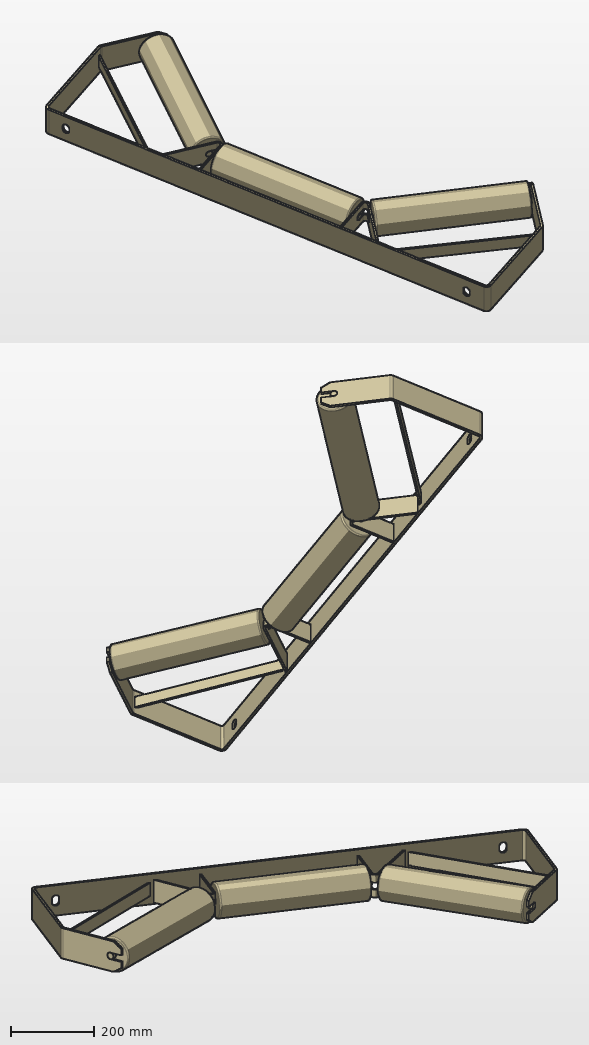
import cadquery as cq
import math


inner_bend = 6.0

frame_length = 1240.0
frame_sheet = 6.0
frame_width = 79.0
half_length = frame_length / 2
arm_reach = 31.0
arm_corner_width = 15.0
arm_corner_length = 22.0
mount_offset = 559.0
mount_width = 19.0
mount_height = 27.0

roller_length = 380.0
roller_diameter = 89.0
roller_edge = 4.0
shaft_diameter = 17.0
end_gap = 5.0
shaft_length = roller_length + 2 * (end_gap + frame_sheet)
near_face = roller_length / 2 + end_gap
slot_reach = 50.0

middle_y = 100.0
inner_z = -6.0
outer_z = 0.0
trough_angle = 40.0
side_x = -376.0
side_y = 235.0
side_tilt = math.degrees(math.asin((outer_z - inner_z) / roller_length))

bracket_sheet = 5.0
bracket_width = 60.0

brace_sheet = 5.0
brace_width = 35.0
brace_top_y = 250.0

cos_trough = math.cos(math.radians(trough_angle))
sin_trough = math.sin(math.radians(trough_angle))
tan_trough = sin_trough / cos_trough


def side_point(outward, upward):
    """Point given by distances from the left roller centre, along its axis and along its arm."""
    return (
        side_x - outward * cos_trough + upward * sin_trough,
        side_y + outward * sin_trough + upward * cos_trough,
    )


def arm_line_y(outward, x):
    """Y at a given X on the arm-parallel line lying `outward` from the left roller centre."""
    start_x, start_y = side_point(outward, 0)
    return start_y + (x - start_x) / tan_trough


def mirror_x(point):
    return (-point[0], point[1])


def extrude_outline(points, width):
    return cq.Workplane("XY", origin=(0, 0, -width / 2)).polyline(points).close().extrude(width)


def cylinder_x(diameter, length):
    """Cylinder along X, centred on the origin."""
    return cq.Workplane("YZ", origin=(-length / 2, 0, 0)).circle(diameter / 2).extrude(length)


def round_corner(body, point, radius):
    """Round the edge parallel to Z that passes through the given XY point."""
    edge = cq.selectors.NearestToPointSelector((point[0], point[1], 0))
    return body.edges("|Z").edges(edge).fillet(radius)


def bent_strip(outer_points, inner_points, thickness, width):
    """Strip between two matching point rows; every row point but the first and last is a bend."""
    body = extrude_outline(outer_points + inner_points[::-1], width)
    for outer, inner in zip(outer_points[1:-1], inner_points[1:-1]):
        body = round_corner(body, outer, inner_bend + thickness)
        body = round_corner(body, inner, inner_bend)
    return body


def place_left(body):
    """Move a body from the origin, lying along X, to the left roller position."""
    body = body.rotate((0, 0, 0), (0, 1, 0), side_tilt)
    body = body.rotate((0, 0, 0), (0, 0, 1), -trough_angle)
    return body.translate((side_x, side_y, (inner_z + outer_z) / 2))


def place_middle(body):
    return body.translate((0, middle_y, inner_z))


def mirrored(body):
    return body.mirror("YZ")


def make_roller():
    """Roller with its shaft, lying along X about the origin."""
    drum = cylinder_x(roller_diameter, roller_length).edges("%CIRCLE").fillet(roller_edge)
    return drum.union(cylinder_x(shaft_diameter, shaft_length))


def make_slot_cutter():
    """A slot at each end of a roller at the origin: round under the shaft, open towards +Y."""
    slot_depth = end_gap + 2 * frame_sheet
    bottom = cylinder_x(shaft_diameter, slot_depth)
    opening = cq.Workplane("XY").box(
        slot_depth, slot_reach, shaft_diameter, centered=(True, False, True)
    )
    offset = (roller_length + slot_depth) / 2
    end_slot = bottom.union(opening).translate((offset, 0, 0))
    return end_slot.union(mirrored(end_slot))


def arm_tip_cutter(side):
    """Wedge that cuts one corner of the left arm tip; side is +1 or -1 in Z."""
    corner = frame_width / 2
    outline = [
        (arm_reach, side * corner),
        (arm_reach - arm_corner_length, side * corner),
        (arm_reach, side * (corner - arm_corner_width)),
    ]
    start_x, start_y = side_point(near_face - frame_sheet, 0)
    plane = cq.Plane(
        origin=(start_x, start_y, 0),
        xDir=(sin_trough, cos_trough, 0),
        normal=(-cos_trough, sin_trough, 0),
    )
    return cq.Workplane(plane).polyline(outline).close().extrude(3 * frame_sheet)


def make_frame():
    far_face = near_face + frame_sheet
    leg_inner_x = -half_length + frame_sheet
    outer_left = [
        side_point(far_face, arm_reach),
        (-half_length, arm_line_y(far_face, -half_length)),
        (-half_length, 0),
    ]
    inner_left = [
        side_point(near_face, arm_reach),
        (leg_inner_x, arm_line_y(near_face, leg_inner_x)),
        (leg_inner_x, frame_sheet),
    ]
    outer = outer_left + [mirror_x(p) for p in outer_left[::-1]]
    inner = inner_left + [mirror_x(p) for p in inner_left[::-1]]
    body = bent_strip(outer, inner, frame_sheet, frame_width)

    slot = place_left(make_slot_cutter())
    tips = arm_tip_cutter(1).union(arm_tip_cutter(-1))
    for cutter in (slot, tips):
        body = body.cut(cutter).cut(mirrored(cutter))

    mounts = (
        cq.Workplane("XZ")
        .pushPoints([(-mount_offset, 0), (mount_offset, 0)])
        .slot2D(mount_height, mount_width, 90)
        .extrude(-frame_sheet)
    )
    return body.cut(mounts)


def make_bracket():
    """Left inverted-V bracket, standing on the base between the left and the middle roller."""
    far_face = near_face + bracket_sheet

    def face_points(distance):
        """Leg foot, apex and post foot on the face at this distance from both roller centres."""
        start_x, start_y = side_point(-distance, 0)
        foot_x = start_x + (frame_sheet - start_y) * tan_trough
        post_x = -distance
        apex_y = arm_line_y(-distance, post_x)
        return [(foot_x, frame_sheet), (post_x, apex_y), (post_x, frame_sheet)]

    outer = face_points(near_face)
    inner = face_points(far_face)
    body = bent_strip(outer, inner, bracket_sheet, bracket_width).translate((0, 0, inner_z))
    cutter = make_slot_cutter()
    return body.cut(place_left(cutter)).cut(place_middle(cutter))


def make_brace():
    """Left diagonal brace, mitred against the frame leg and the base."""
    leg_x = -half_length + frame_sheet
    brace_bottom_y = brace_top_y - brace_sheet / cos_trough
    outline = [
        (leg_x, brace_top_y),
        (leg_x, brace_bottom_y),
        (leg_x + (brace_bottom_y - frame_sheet) / tan_trough, frame_sheet),
        (leg_x + (brace_top_y - frame_sheet) / tan_trough, frame_sheet),
    ]
    return extrude_outline(outline, brace_width)


frame = make_frame()
middle_roller = place_middle(make_roller())
side_parts = []
for left_part in (place_left(make_roller()), make_bracket(), make_brace()):
    side_parts += [left_part.val(), mirrored(left_part).val()]

result = cq.Compound.makeCompound([frame.val(), middle_roller.val(), *side_parts])